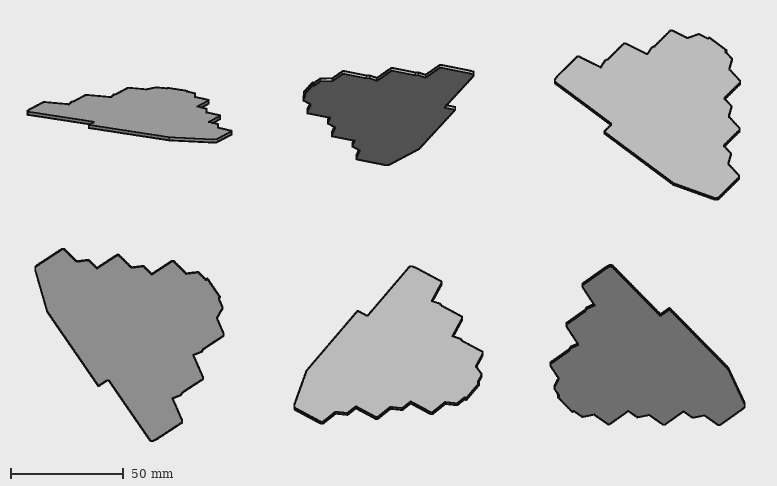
import cadquery as cq
import math

LENGTH = 95.0
HEIGHT = 67.3
THICKNESS = 1.5

TIER_COUNT = 3
TIER_DROP = 18.6
LEFT_TIER_RUN = 11.2
RIGHT_TIER_RUN = LENGTH / 6
SHOULDER_Y = 59.2
SHOULDER_SLOPE = math.tan(math.radians(10.8))
TOP_LEFT_X = LEFT_TIER_RUN * (TIER_COUNT - 1)
TOP_RIGHT_X = LENGTH - RIGHT_TIER_RUN * (TIER_COUNT - 1)
AXIS_X = (TOP_LEFT_X + TOP_RIGHT_X) / 2

TAB_HALF_WIDTH = 5.0
RAMP_TOP_HALF_WIDTH = 9.8
RAMP_FOOT_HALF_WIDTH = 12.2
RAMP_TOP_Y = 65.55

NUB_TOP_RISE = 7.4
NUB_PEAK_RISE = 6.1
NUB_REACH = 0.6
NUB_FOOT_INSET = 0.3

LEDGE_Y = 5.2
FOOT_LEFT_X = 34.4
FOOT_RIGHT_X = 75.05
RIGHT_WALL_FOOT_Y = 6.6
TAPER_START_Y = 8.1
TAPER_INSET = 0.4

SHOULDER_RADIUS = 0.8
RIGHT_SHOULDER_RADIUS = 1.1
LEFT_FOOT_RADIUS = 1.2
RIGHT_FOOT_RADIUS = 1.9
LEDGE_RADIUS = 0.4


def shoulder_y(tier):
    return SHOULDER_Y - tier * TIER_DROP


def left_wall_x(tier):
    return TOP_LEFT_X - tier * LEFT_TIER_RUN


def right_wall_x(tier):
    return TOP_RIGHT_X + tier * RIGHT_TIER_RUN


def ramp_foot_y(tier):
    shoulder_width = TOP_RIGHT_X - AXIS_X - RAMP_FOOT_HALF_WIDTH
    return shoulder_y(tier) + shoulder_width * SHOULDER_SLOPE


def left_step(tier):
    """Latch nub and wall of an upper tier, from the shoulder below upward."""
    wall_x = left_wall_x(tier)
    below_y = shoulder_y(tier + 1)
    foot_x = wall_x + NUB_FOOT_INSET
    foot_y = below_y + (foot_x - left_wall_x(tier + 1)) * SHOULDER_SLOPE
    return [
        (foot_x, foot_y),
        (wall_x - NUB_REACH, below_y + NUB_PEAK_RISE),
        (wall_x, below_y + NUB_TOP_RISE),
        (wall_x, shoulder_y(tier)),
    ]


def right_step(tier):
    """Gentle slope, steep ramp and shoulder on the right, going downward."""
    center_x = AXIS_X + tier * RIGHT_TIER_RUN
    ramp_top_y = RAMP_TOP_Y - tier * TIER_DROP
    start_x = AXIS_X + TAB_HALF_WIDTH if tier == 0 else right_wall_x(tier - 1)
    ramp_top_x = center_x + RAMP_TOP_HALF_WIDTH
    return [
        (start_x, ramp_top_y + (ramp_top_x - start_x) * SHOULDER_SLOPE),
        (ramp_top_x, ramp_top_y),
        (center_x + RAMP_FOOT_HALF_WIDTH, ramp_foot_y(tier)),
        (right_wall_x(tier), shoulder_y(tier)),
    ]


def outline():
    """Clockwise outline with sharp corners, starting at the left ledge."""
    bottom_tier = TIER_COUNT - 1
    points = [
        (TAPER_INSET, LEDGE_Y),
        (0, TAPER_START_Y),
        (0, shoulder_y(bottom_tier)),
    ]
    for tier in reversed(range(bottom_tier)):
        points += left_step(tier)

    tab_foot_y = RAMP_TOP_Y + (RAMP_TOP_HALF_WIDTH - TAB_HALF_WIDTH) * SHOULDER_SLOPE
    points += [
        (AXIS_X - RAMP_FOOT_HALF_WIDTH, ramp_foot_y(0)),
        (AXIS_X - RAMP_TOP_HALF_WIDTH, RAMP_TOP_Y),
        (AXIS_X - TAB_HALF_WIDTH, tab_foot_y),
        (AXIS_X - TAB_HALF_WIDTH, HEIGHT),
        (AXIS_X + TAB_HALF_WIDTH, HEIGHT),
    ]
    for tier in range(TIER_COUNT):
        points += right_step(tier)

    points += [
        (LENGTH, RIGHT_WALL_FOOT_Y),
        (FOOT_RIGHT_X, 0),
        (FOOT_LEFT_X, 0),
        (FOOT_LEFT_X, LEDGE_Y),
    ]
    return points


def round_corner(body, x, y, radius):
    """Fillet the upright edge nearest to (x, y)."""
    edge = cq.selectors.NearestToPointSelector((x, y, THICKNESS / 2))
    return body.edges("|Z").edges(edge).fillet(radius)


result = cq.Workplane("XY").polyline(outline()).close().extrude(THICKNESS)

for tier in range(TIER_COUNT):
    is_bottom = tier == TIER_COUNT - 1
    right_radius = RIGHT_SHOULDER_RADIUS if is_bottom else SHOULDER_RADIUS
    result = round_corner(result, left_wall_x(tier), shoulder_y(tier), SHOULDER_RADIUS)
    result = round_corner(result, right_wall_x(tier), shoulder_y(tier), right_radius)

result = round_corner(result, TAPER_INSET, LEDGE_Y, LEFT_FOOT_RADIUS)
result = round_corner(result, LENGTH, RIGHT_WALL_FOOT_Y, RIGHT_FOOT_RADIUS)
result = round_corner(result, FOOT_LEFT_X, LEDGE_Y, LEDGE_RADIUS)